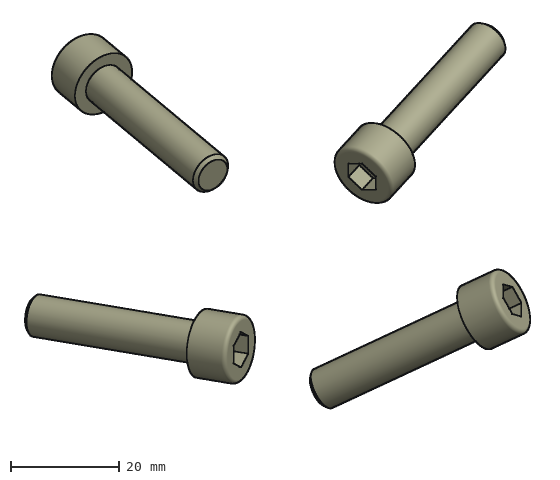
import cadquery as cq
import math

total_length = 43.0
head_length = 8.0
head_diameter = 13.0
head_fillet = 0.8
shank_diameter = head_length
tip_chamfer = 0.75
hex_across_flats = 6.0
hex_depth = 3.65


def make_head():
    head = cq.Workplane("YZ").circle(head_diameter / 2).extrude(head_length)
    return head.faces("<X").edges().fillet(head_fillet)


def make_shank():
    shank = (
        cq.Workplane("YZ", origin=(head_length, 0, 0))
        .circle(shank_diameter / 2)
        .extrude(total_length - head_length)
    )
    return shank.faces(">X").edges().chamfer(tip_chamfer)


def make_hex_socket():
    across_corners = hex_across_flats / math.cos(math.pi / 6)
    socket = cq.Workplane("YZ").polygon(6, across_corners).extrude(hex_depth)
    return socket.rotate((0, 0, 0), (1, 0, 0), 90)


result = make_head().union(make_shank()).cut(make_hex_socket())